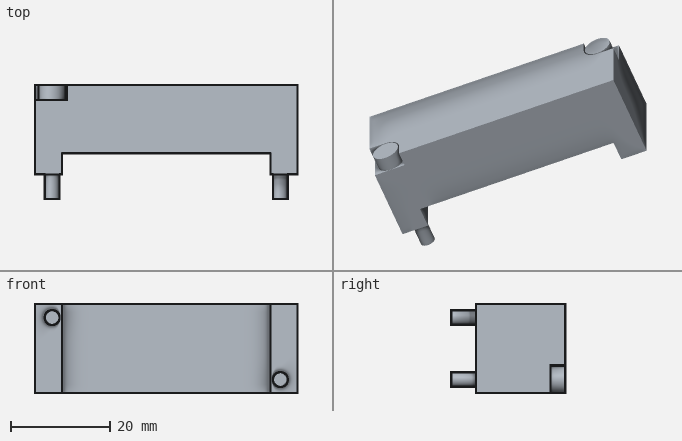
import cadquery as cq

LENGTH = 53.0
DEPTH = 18.0
HEIGHT = 18.0

FOOT_WIDTH = 5.5
RECESS_DEPTH = 4.2

SHANK_DIAMETER = 3.0
SHANK_PROJECTION = 5.0
HEAD_DIAMETER = 5.4
HEAD_HEIGHT = 3.0
SCREW_END_INSET = 3.5
SCREW_EDGE_INSET = 2.75

HEAD_CLEARANCE = 0.25
POCKET_RADIUS = HEAD_DIAMETER / 2 + HEAD_CLEARANCE
POCKET_LENGTH = SCREW_END_INSET + POCKET_RADIUS
POCKET_HEIGHT = SCREW_EDGE_INSET + POCKET_RADIUS

FRONT = -DEPTH / 2
BACK = DEPTH / 2


def make_body():
    """Block with the full-height recess in its front face."""
    block = cq.Workplane("XY").box(LENGTH, DEPTH, HEIGHT)
    recess = (
        cq.Workplane("XY")
        .box(LENGTH - 2 * FOOT_WIDTH, RECESS_DEPTH, HEIGHT)
        .translate((0, FRONT + RECESS_DEPTH / 2, 0))
    )
    return block.cut(recess)


def make_pocket(side):
    """Corner pocket in the back face; side is -1 for upper left, +1 for lower right."""
    x = side * (LENGTH - POCKET_LENGTH) / 2
    z = -side * (HEIGHT - POCKET_HEIGHT) / 2
    inner_corner = "|Y and >X and <Z" if side < 0 else "|Y and <X and >Z"
    return (
        cq.Workplane("XY")
        .box(POCKET_LENGTH, HEAD_HEIGHT, POCKET_HEIGHT)
        .edges(inner_corner)
        .fillet(POCKET_RADIUS)
        .translate((x, BACK - HEAD_HEIGHT / 2, z))
    )


def make_rod(side, diameter, y_start, y_end):
    """Cylinder along the screw axis on the given side, from y_start to y_end."""
    x = side * (LENGTH / 2 - SCREW_END_INSET)
    z = -side * (HEIGHT / 2 - SCREW_EDGE_INSET)
    return cq.Workplane(
        cq.Solid.makeCylinder(
            diameter / 2,
            y_end - y_start,
            cq.Vector(x, y_start, z),
            cq.Vector(0, 1, 0),
        )
    )


def make_screw(side):
    """Head flush with the back face and a shank projecting beyond the front face."""
    head_base = BACK - HEAD_HEIGHT
    head = make_rod(side, HEAD_DIAMETER, head_base, BACK)
    shank = make_rod(side, SHANK_DIAMETER, FRONT - SHANK_PROJECTION, head_base)
    return head.union(shank)


result = make_body()
for corner_side in (-1, 1):
    result = result.cut(make_pocket(corner_side))
    result = result.union(make_screw(corner_side))